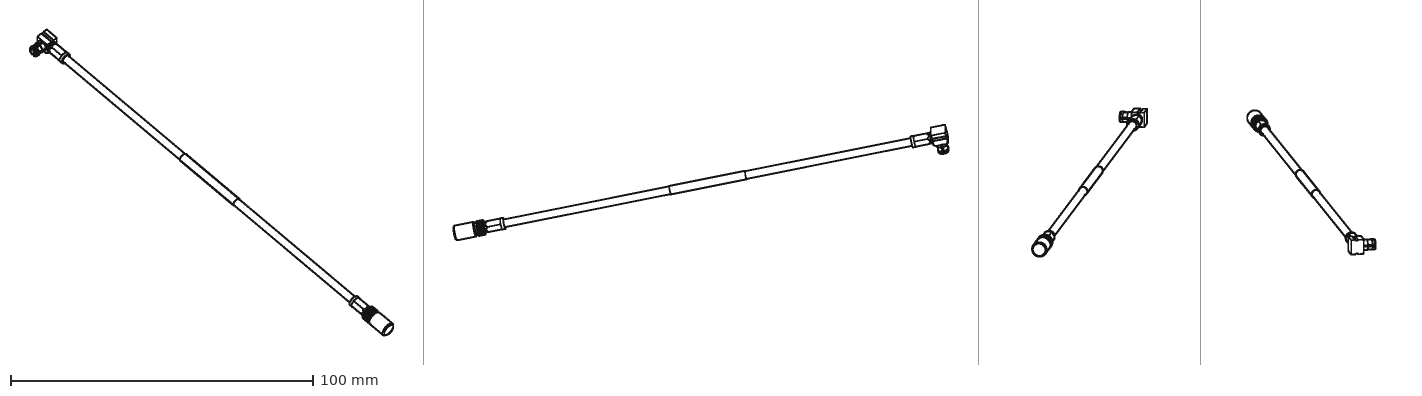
import cadquery as cq
import math

total_length = 167.4
jack_diameter = 5.0
overlap = 0.2

cable_middle = 81.2
cable_diameter = 2.7
label_length = 25.8
label_diameter = 3.0

ferrule_reach = 69.3
hex_length = 5.5
hex_corners = 4.2
hex_end_diameter = 3.3
hex_bevel_length = 1.2
collar_diameter = 3.9
collar_length = 1.0

head_length = 4.9
head_back = 2.5
head_front = -1.8
head_height = 5.0
head_bevel_diameter = 6.2
head_bevel_length = 0.5
slot_back = 1.09
slot_front = 0.2
slot_depth = 0.25
neck_diameter = 3.9

plug_tip = -6.0
plug_diameter = 3.7
plug_groove_diameter = 3.3
groove_back = -3.3
groove_front = -4.4
ring_taper_length = 0.5
socket_diameter = 2.5
socket_depth = 3.7
finger_slot_width = 0.5
pin_diameter = 1.0
pin_recess = 0.5

knurl_start = 157.4
knurl_end = 159.5
knurl_count = 24
knurl_width = 0.3
knurl_depth = 0.25
undercut_diameter = 4.4
sleeve_start = 160.2
sleeve_chamfer = 0.42

plug_x = head_length / 2
head_diagonal = math.hypot(head_length, head_height)
ferrule_left_end = cable_middle - ferrule_reach - collar_length - hex_length
ferrule_right_end = 2 * cable_middle - ferrule_left_end
label_start = cable_middle - label_length / 2


def rod(diameter, start, end):
    """Cylinder on the cable axis between two X positions."""
    return cq.Workplane("YZ", origin=(start, 0, 0)).circle(diameter / 2).extrude(end - start)


def plug_rod(diameter, back, front):
    """Cylinder on the plug axis between two Y positions, from back to front."""
    return cq.Workplane("XZ", origin=(plug_x, back, 0)).circle(diameter / 2).extrude(back - front)


def turned_on_plug_axis(outline):
    """Solid of revolution about the plug axis; outline points are (radius, Y)."""
    profile = cq.Workplane("XY").polyline(outline).close()
    return profile.revolve(360, (0, 0, 0), (0, 1, 0)).translate((plug_x, 0, 0))


def block(x_range, y_range, z_range):
    """Box between the given limits on each axis."""
    (x0, x1), (y0, y1), (z0, z1) = x_range, y_range, z_range
    return cq.Workplane("XY").box(x1 - x0, y1 - y0, z1 - z0, centered=False).translate((x0, y0, z0))


def make_cable():
    """Cable that runs through both ferrules and butts against the connector necks."""
    return rod(cable_diameter, ferrule_left_end, ferrule_right_end)


def make_label():
    """Sleeve fitted around the middle of the cable."""
    label_end = label_start + label_length
    return rod(label_diameter, label_start, label_end).cut(rod(cable_diameter, label_start, label_end))


def make_left_ferrule():
    """Hexagonal crimp, bevelled towards the connector, with a round collar on the cable side."""
    hex_end = ferrule_left_end + hex_length
    collar_end = hex_end + collar_length
    hexagon = (
        cq.Workplane("YZ", origin=(ferrule_left_end, 0, 0))
        .polygon(6, hex_corners)
        .extrude(hex_length)
    )
    bevel_outline = [
        (ferrule_left_end, 0),
        (ferrule_left_end, hex_end_diameter / 2),
        (ferrule_left_end + hex_bevel_length, hex_corners / 2),
        (hex_end, hex_corners / 2),
        (hex_end, 0),
    ]
    bevel = cq.Workplane("XY").polyline(bevel_outline).close().revolve(360, (0, 0, 0), (1, 0, 0))
    collar = rod(collar_diameter, hex_end, collar_end)
    bore = rod(cable_diameter, ferrule_left_end, collar_end)
    return hexagon.intersect(bevel).union(collar).cut(bore)


def make_head():
    """Block with its front corners bevelled, a slot across top and bottom, and a neck to the ferrule."""
    half_height = head_height / 2
    head = block((0, head_length), (head_front, head_back), (-half_height, half_height))
    bevel_outline = [
        (0, head_front),
        (head_bevel_diameter / 2, head_front),
        (head_diagonal / 2, head_front + head_bevel_length),
        (head_diagonal / 2, head_back),
        (0, head_back),
    ]
    head = head.intersect(turned_on_plug_axis(bevel_outline))
    for side in (1, -1):
        z_range = sorted((side * (half_height - slot_depth), side * half_height))
        head = head.cut(block((0, head_length), (slot_front, slot_back), z_range))
    neck = rod(neck_diameter, head_length, ferrule_left_end)
    return head.union(neck)


def make_plug():
    """Slotted spring collet with a snap ring at its tip and a centre pin."""
    outer = plug_diameter / 2
    waist = plug_groove_diameter / 2
    plug = turned_on_plug_axis([
        (0, head_front),
        (outer, head_front),
        (outer, groove_back),
        (waist, groove_back),
        (waist, groove_front),
        (outer, groove_front - ring_taper_length),
        (outer, plug_tip + ring_taper_length),
        (waist, plug_tip),
        (0, plug_tip),
    ])

    socket_floor = plug_tip + socket_depth
    plug = plug.cut(plug_rod(socket_diameter, socket_floor, plug_tip))
    slot = block(
        (plug_x - plug_diameter, plug_x + plug_diameter),
        (plug_tip - overlap, socket_floor),
        (-finger_slot_width / 2, finger_slot_width / 2),
    )
    for angle in (0, 90):
        plug = plug.cut(slot.rotate((plug_x, 0, 0), (plug_x, 1, 0), angle))
    return plug.union(plug_rod(pin_diameter, socket_floor, plug_tip + pin_recess))


def make_knurl():
    """Knurled ring of the jack, cut by equally spaced axial grooves."""
    knurl = rod(jack_diameter, knurl_start, knurl_end)
    outer = jack_diameter / 2
    groove = block(
        (knurl_start, knurl_end),
        (-knurl_width / 2, knurl_width / 2),
        (outer - knurl_depth, outer + overlap),
    )
    for i in range(knurl_count):
        knurl = knurl.cut(groove.rotate((0, 0, 0), (1, 0, 0), i * 360 / knurl_count))
    return knurl


def make_jack():
    """Neck, knurled ring, undercut and chamfered sleeve in a row along X."""
    neck = rod(neck_diameter, ferrule_right_end, knurl_start)
    undercut = rod(undercut_diameter, knurl_end, sleeve_start)
    sleeve = rod(jack_diameter, sleeve_start, total_length).faces("<X or >X").chamfer(sleeve_chamfer)
    return neck.union(make_knurl()).union(undercut).union(sleeve)


cable = make_cable()
label = make_label()
left_ferrule = make_left_ferrule()
ferrules = [left_ferrule, left_ferrule.mirror("YZ", (cable_middle, 0, 0))]
angled_connector = make_head().union(make_plug())
jack = make_jack()

result = cq.Compound.makeCompound(
    [cable.val(), label.val(), *[ferrule.val() for ferrule in ferrules], angled_connector.val(), jack.val()]
)